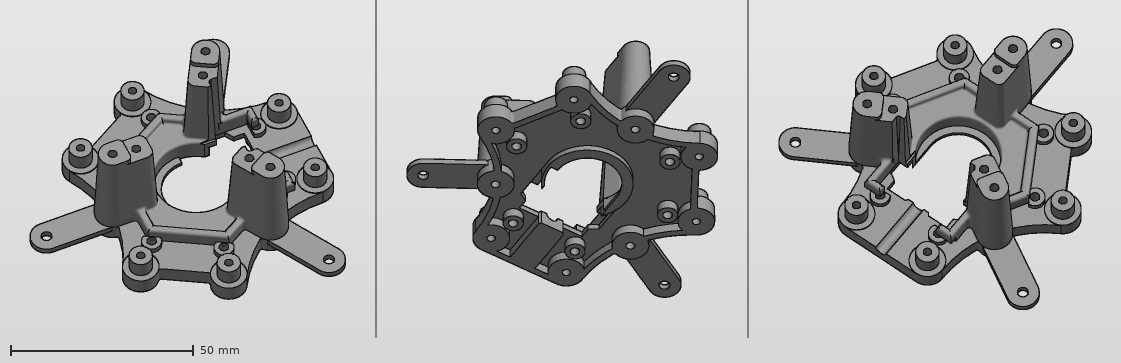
import cadquery as cq
import math

TOWER_ANGLES = (-90, 30, 150)
FRONT_PAIR_ANGLES = (210, 330)
REAR_ANGLE = 90
PAIR_ANGLES = (*FRONT_PAIR_ANGLES, REAR_ANGLE)

PLATE_TOP = 4.8
SKIN = 1.8
SKIN_BOTTOM = PLATE_TOP - SKIN
LUG_TOP = 5.0
EYELET_TOP = 6.35
BOSS_TOP = 10.0
DRAFT_START = 6.8
DECK_TOP = 7.2
RIDGE_TOP = 8.7
BRACKET_TOP = 9.9
LOW_STEP = 29.9
TOWER_TOP = 31.5

OVERALL_WIDTH = 86.9
ARM_RADIUS = 4.5
ARM_REACH = (OVERALL_WIDTH / 2 - ARM_RADIUS) / math.cos(math.radians(30))
ARM_HOLE_RADIUS = 1.5

LUG_RADIUS = 5.0
LUG_PITCH_RADIUS = 32.7
LUG_HALF_ANGLE = 21.8
LUG_ACROSS = LUG_PITCH_RADIUS * math.sin(math.radians(LUG_HALF_ANGLE))
LUG_OUT = LUG_PITCH_RADIUS * math.cos(math.radians(LUG_HALF_ANGLE))
BOSS_RADIUS = 3.2
BOSS_HOLE_RADIUS = 1.1

EYELET_RADIUS = 2.8
EYELET_HOLE_RADIUS = 1.3
EYELET_PITCH_RADIUS = 24.5
EYELET_HALF_ANGLE = 24

FRONT_FACE = 30.4
REAR_FACE = LUG_OUT + LUG_RADIUS
SCALLOP_END = (30.1, 17.7)
SCALLOP_MIDDLE = (27.4, 12.1)
SCALLOP_NECK = 25.5
NECK_HALF_WIDTH = 4.35
CORNER_BLEND = 0.8
WALL = 1.8

GROOVE_RADIUS = 1.7
TAB_HALF_WIDTH = 4.0
TAB_CHAMFER = 0.5
TAB_LENGTH = 0.8

SLOT_HALF_WIDTH = 9.6
SHOULDER_HALF_WIDTH = 12.6
SHOULDER_FRONT = 10.4
SHOULDER_REAR = 14.2
NOTCH_HALF_WIDTH = 10.1
NOTCH_FRONT = 15.7
NOTCH_REAR = 18.95
BORE_RADIUS = 11.7
SKIRT_RADIUS = SHOULDER_HALF_WIDTH
LEDGE_TOP = 2.3
LEDGE_BOTTOM = 1.1

SIDE_FACE = 20.9
TOWER_FACE = 20.1
RIDGE_WIDTH = 2.4
RIDGE_BLEND = 0.8
FOOT_BLEND = 0.6
RIDGE_END_BLEND = 1.0

TOWER_HALF_WIDTH = 5.0
TOWER_OUTER_CENTER = 25.1
TOWER_INNER_END = 13.0
TOWER_CORNER = 2.1
TOWER_DRAFT = 2.7
SHOULDER_DRAFT = 2.0
STEP_AT = 20.9
STEP_CORNER = 1.65
TOWER_HOLE_RADIUS = 1.2
BLIND_HOLE_AT = 18.0
BLIND_HOLE_DEPTH = 10.0
TOWER_TRIM_HALF_WIDTH = 10.3

FLAT_TOLERANCE = 0.1
FLOOR_BLEND_REAR = 8.3

BRACKET_WIDTH = 2.2
BRACKET_TIP = 9.6
BRACKET_ROOT_BLEND = 1.0
BRACKET_BLEND = 0.9
BRACKET_ROOT_OVERLAP = 1.7


def place(angle, out, across):
    """Point at a distance out along a direction and a distance across it, counter-clockwise."""
    a = math.radians(angle)
    return (out * math.cos(a) - across * math.sin(a), out * math.sin(a) + across * math.cos(a))


def turned(body, angle):
    return body.rotate((0, 0, 0), (0, 0, 1), angle)


def prism(points, bottom, top):
    return cq.Workplane("XY", origin=(0, 0, bottom)).polyline(points).close().extrude(top - bottom)


def cylinders(points, radius, bottom, top):
    return cq.Workplane("XY", origin=(0, 0, bottom)).pushPoints(points).circle(radius).extrude(top - bottom)


def pair_points(pitch_radius, half_angle):
    return [
        place(angle + side * half_angle, pitch_radius, 0)
        for angle in PAIR_ANGLES
        for side in (-1, 1)
    ]


LUGS = pair_points(LUG_PITCH_RADIUS, LUG_HALF_ANGLE)
EYELETS = pair_points(EYELET_PITCH_RADIUS, EYELET_HALF_ANGLE)
LOBES = [place(angle, TOWER_OUTER_CENTER, 0) for angle in TOWER_ANGLES]


def mirrored(points):
    """Close a left-hand outline with its mirror image in the YZ plane."""
    return points + [(-x, y) for x, y in reversed(points)]


def opening_outline():
    return mirrored([
        (-SLOT_HALF_WIDTH, 0),
        (-SLOT_HALF_WIDTH, SHOULDER_FRONT),
        (-SHOULDER_HALF_WIDTH, SHOULDER_FRONT),
        (-SHOULDER_HALF_WIDTH, SHOULDER_REAR),
        (-NOTCH_HALF_WIDTH, NOTCH_FRONT),
        (-NOTCH_HALF_WIDTH, NOTCH_REAR),
        (-TAB_HALF_WIDTH, NOTCH_REAR),
        (-TAB_HALF_WIDTH + TAB_CHAMFER, NOTCH_REAR - TAB_LENGTH),
    ])


def plate_core():
    """Outline between the lugs: a scallop each side of every tower, a flat between paired lugs."""
    core = cq.Workplane("XY").moveTo(*place(TOWER_ANGLES[0], SCALLOP_END[0], -SCALLOP_END[1]))
    for angle in TOWER_ANGLES:
        flat_angle = angle + 60
        flat = REAR_FACE if flat_angle == REAR_ANGLE else FRONT_FACE
        if angle != TOWER_ANGLES[0]:
            core = core.lineTo(*place(angle, SCALLOP_END[0], -SCALLOP_END[1]))
        core = (
            core.threePointArc(
                place(angle, SCALLOP_MIDDLE[0], -SCALLOP_MIDDLE[1]),
                place(angle, SCALLOP_NECK, -NECK_HALF_WIDTH),
            )
            .lineTo(*place(angle, SCALLOP_NECK, NECK_HALF_WIDTH))
            .threePointArc(place(angle, *SCALLOP_MIDDLE), place(angle, *SCALLOP_END))
            .lineTo(*place(flat_angle, flat, -LUG_ACROSS))
            .lineTo(*place(flat_angle, flat, LUG_ACROSS))
        )
    return core.close()


def blended_corners():
    """Places where the plate outline turns inward: at the front lugs and at the tower lobes."""
    at_lugs = [
        place(angle, FRONT_FACE, side * (LUG_ACROSS - LUG_RADIUS))
        for angle in FRONT_PAIR_ANGLES
        for side in (-1, 1)
    ]
    at_lobes = [
        place(angle, SCALLOP_NECK, side * TOWER_HALF_WIDTH)
        for angle in TOWER_ANGLES
        for side in (-1, 1)
    ]
    return at_lugs + at_lobes


def outer_block():
    block = plate_core().extrude(PLATE_TOP)
    block = block.union(cylinders(LUGS + LOBES, LUG_RADIUS, 0, PLATE_TOP))
    corners = cq.Workplane("XY")
    for x, y in blended_corners():
        corners = corners.add(block.edges("|Z").edges(cq.NearestToPointSelector((x, y, PLATE_TOP / 2))))
    return block.newObject(corners.vals()).fillet(CORNER_BLEND)


def underside_cavity():
    """Hollow below the skin, around the lugs, lobes, eyelet bosses and groove block."""
    cavity = plate_core().offset2D(-WALL).extrude(SKIN_BOTTOM)
    cavity = cavity.cut(cylinders(LUGS + LOBES, LUG_RADIUS, 0, SKIN_BOTTOM))
    cavity = cavity.cut(cylinders(EYELETS, EYELET_RADIUS, 0, SKIN_BOTTOM))
    groove_block = (
        cq.Workplane("XY")
        .rect(2 * TAB_HALF_WIDTH, REAR_FACE, centered=(True, False))
        .extrude(SKIN_BOTTOM)
    )
    return cavity.cut(groove_block)


def arms():
    arm = (
        cq.Workplane("XY", origin=(0, 0, SKIN_BOTTOM))
        .moveTo(TOWER_OUTER_CENTER, -ARM_RADIUS)
        .lineTo(ARM_REACH, -ARM_RADIUS)
        .threePointArc((ARM_REACH + ARM_RADIUS, 0), (ARM_REACH, ARM_RADIUS))
        .lineTo(TOWER_OUTER_CENTER, ARM_RADIUS)
        .close()
        .extrude(SKIN)
    )
    arm = arm.cut(cylinders([(ARM_REACH, 0)], ARM_HOLE_RADIUS, SKIN_BOTTOM, PLATE_TOP))
    return [turned(arm, angle) for angle in TOWER_ANGLES]


def eyelet_rings():
    """Low rings, each sliced off flat where it meets the side of the cover."""
    rings = cylinders(EYELETS, EYELET_RADIUS, PLATE_TOP, EYELET_TOP)
    triangle = [place(angle, 2 * SIDE_FACE, 0) for angle in TOWER_ANGLES]
    return rings.cut(prism(triangle, PLATE_TOP, EYELET_TOP))


def make_base_plate():
    plate = outer_block().cut(underside_cavity())
    for arm in arms():
        plate = plate.union(arm)
    plate = plate.union(cylinders(LUGS, LUG_RADIUS, 0, LUG_TOP))
    plate = plate.union(cylinders(LUGS, BOSS_RADIUS, LUG_TOP, BOSS_TOP))
    plate = plate.union(eyelet_rings())
    plate = plate.cut(cylinders([(0, 0)], SKIRT_RADIUS, 0, PLATE_TOP))
    plate = plate.cut(prism(opening_outline(), 0, PLATE_TOP))
    shoulder = cq.Workplane("XY").rect(2 * SHOULDER_HALF_WIDTH, SHOULDER_FRONT, centered=(True, False))
    plate = plate.cut(shoulder.extrude(PLATE_TOP))
    plate = plate.cut(cylinders(LUGS, BOSS_HOLE_RADIUS, 0, BOSS_TOP))
    plate = plate.cut(cylinders(EYELETS, EYELET_HOLE_RADIUS, 0, EYELET_TOP))
    plate = plate.cut(cylinders(LOBES, TOWER_HOLE_RADIUS, 0, PLATE_TOP))
    groove = cq.Workplane("XZ", origin=(0, 0, PLATE_TOP)).circle(GROOVE_RADIUS).extrude(-REAR_FACE)
    return plate.cut(groove)


def cover_outline(inset):
    """Outline with a side across each front lug pair and one across each tower."""
    def corner(angle):
        near = (TOWER_FACE if angle in TOWER_ANGLES else SIDE_FACE) - inset
        far = (SIDE_FACE if angle in TOWER_ANGLES else TOWER_FACE) - inset
        across = (far - near * math.cos(math.radians(60))) / math.sin(math.radians(60))
        return place(angle, near, across)

    left_pair = FRONT_PAIR_ANGLES[0]
    left_tower = TOWER_ANGLES[2]
    return mirrored([
        corner(left_pair),
        corner(left_tower),
        place(left_tower, TOWER_FACE - inset, -inset),
    ])


def deck():
    """Deck with a raised rim; the rear is hidden in the towers."""
    rim = prism(cover_outline(0), PLATE_TOP, RIDGE_TOP)
    rim = rim.cut(prism(cover_outline(RIDGE_WIDTH), DECK_TOP, RIDGE_TOP))
    return rim.faces(">Z").edges("not >Y").fillet(RIDGE_BLEND)


def tower_outline(height):
    half = TOWER_HALF_WIDTH
    return (
        cq.Workplane("XY", origin=(0, 0, height))
        .moveTo(TOWER_OUTER_CENTER, -half)
        .threePointArc((TOWER_OUTER_CENTER + half, 0), (TOWER_OUTER_CENTER, half))
        .lineTo(TOWER_INNER_END, half)
        .lineTo(TOWER_INNER_END, -half)
        .close()
    )


def step_cutter():
    """Space above the low step, around the rounded corners of the upper block."""
    half = TOWER_HALF_WIDTH - (LOW_STEP - DRAFT_START) * math.tan(math.radians(TOWER_DRAFT))
    height = TOWER_TOP - LOW_STEP
    base = cq.Workplane("XY", origin=(0, 0, LOW_STEP))
    space = base.rect(2 * (STEP_AT + STEP_CORNER), 2 * TOWER_HALF_WIDTH).extrude(height)
    upper_block = (
        base.center(STEP_AT, 0)
        .rect(2 * STEP_CORNER, 2 * half, centered=(False, True))
        .extrude(height)
        .edges("|Z and <X")
        .fillet(STEP_CORNER)
    )
    return space.cut(upper_block)


def round_inner_corners(body):
    corners = body.faces("<X").edges("not #Z")
    return corners.fillet(TOWER_CORNER)


def tower():
    """Straight foot and drafted shaft with rounded inner corners, pointing along +X."""
    foot = tower_outline(PLATE_TOP).extrude(DRAFT_START - PLATE_TOP)
    shaft = tower_outline(DRAFT_START).extrude(TOWER_TOP - DRAFT_START, taper=TOWER_DRAFT)
    body = round_inner_corners(foot).union(round_inner_corners(shaft)).cut(step_cutter())
    body = body.cut(cylinders([(TOWER_OUTER_CENTER, 0)], TOWER_HOLE_RADIUS, PLATE_TOP, TOWER_TOP))
    blind_bottom = LOW_STEP - BLIND_HOLE_DEPTH
    return body.cut(cylinders([(BLIND_HOLE_AT, 0)], TOWER_HOLE_RADIUS, blind_bottom, LOW_STEP))


def bracket():
    """L-shaped rib behind the left tower; its short leg overhangs the eyelet."""
    outer = SHOULDER_HALF_WIDTH + BRACKET_WIDTH
    rear = SIDE_FACE + BRACKET_WIDTH
    root = SHOULDER_REAR - BRACKET_ROOT_OVERLAP
    hook = prism(
        [
            (-SHOULDER_HALF_WIDTH, root),
            (-SHOULDER_HALF_WIDTH, SIDE_FACE),
            (-BRACKET_TIP, SIDE_FACE),
            (-BRACKET_TIP, rear),
            (-outer, rear),
            (-outer, root),
        ],
        DRAFT_START,
        BRACKET_TOP,
    )
    hook = hook.faces(">Z").edges("not <Y").fillet(BRACKET_BLEND)
    foot = prism(
        [
            (-SHOULDER_HALF_WIDTH, root),
            (-SHOULDER_HALF_WIDTH, SIDE_FACE),
            (-outer, SIDE_FACE),
            (-outer, root),
        ],
        PLATE_TOP,
        DRAFT_START,
    )
    return hook.union(foot)


def bracket_roots():
    """Where the outer sides of the brackets run into the rear sides of the side towers."""
    outer = SHOULDER_HALF_WIDTH + BRACKET_WIDTH
    slope = math.tan(math.radians(TOWER_ANGLES[1]))
    rear = TOWER_HALF_WIDTH / math.cos(math.radians(TOWER_ANGLES[1])) + outer * slope
    return [(-outer, rear), (outer, rear)]


def tapered_cut(half_width, front, draft):
    """Square space between the side towers that widens upward."""
    depth = 2 * half_width
    return (
        cq.Workplane("XY", origin=(0, front + depth / 2, DRAFT_START))
        .rect(2 * half_width, depth)
        .extrude(TOWER_TOP - DRAFT_START, taper=-draft)
    )


def lip_cutter():
    """Ring that rounds the edge of the bore from its wall to the foot of the tower blends."""
    blend = TOWER_INNER_END - FOOT_BLEND - BORE_RADIUS
    corner = BORE_RADIUS
    diagonal = blend * math.sqrt(0.5)
    return (
        cq.Workplane("XZ")
        .moveTo(corner, DECK_TOP - blend)
        .threePointArc(
            (corner + blend - diagonal, DECK_TOP - blend + diagonal),
            (corner + blend, DECK_TOP),
        )
        .lineTo(corner - blend, DECK_TOP)
        .lineTo(corner - blend, DECK_TOP - blend)
        .close()
        .revolve(360, (0, 0, 0), (0, 1, 0))
    )


def near_points(body, points, reach, bottom, top):
    """Rising edges of a body close to any of the given places and between two heights."""
    chosen = []
    for edge in body.edges().vals():
        box = edge.BoundingBox()
        middle = edge.Center()
        distance = min(math.hypot(middle.x - x, middle.y - y) for x, y in points)
        rises = box.zmax - box.zmin > FLAT_TOLERANCE
        inside = box.zmin > bottom - FLAT_TOLERANCE and box.zmax < top + FLAT_TOLERANCE
        if rises and inside and distance < reach:
            chosen.append(edge)
    return body.newObject(chosen)


def rim_ends():
    """Where the outer and inner sides of the rim run into the front and side towers."""
    ends = []
    for angle, sides in zip(TOWER_ANGLES, ((-1, 1), (-1,), (1,))):
        for out in (TOWER_FACE, TOWER_FACE - RIDGE_WIDTH):
            ends += [place(angle, out, side * TOWER_HALF_WIDTH) for side in sides]
    return ends


def deck_with_towers():
    """Deck and towers joined by blends at the rim ends and around the floor of the deck."""
    body = deck()
    for angle in TOWER_ANGLES:
        body = body.union(turned(tower(), angle))
    body = near_points(body, rim_ends(), RIDGE_END_BLEND, PLATE_TOP, RIDGE_TOP).fillet(RIDGE_END_BLEND)
    floor = cq.selectors.BoxSelector(
        (-SIDE_FACE * 2, -SIDE_FACE, DECK_TOP - FLAT_TOLERANCE),
        (SIDE_FACE * 2, FLOOR_BLEND_REAR, DECK_TOP + FLAT_TOLERANCE),
    )
    body = body.edges(floor).fillet(FOOT_BLEND)
    body = body.cut(tapered_cut(SHOULDER_HALF_WIDTH, SHOULDER_FRONT, SHOULDER_DRAFT))
    return body.cut(tapered_cut(TOWER_TRIM_HALF_WIDTH, 0, TOWER_DRAFT))


def make_cover():
    cover = deck_with_towers()
    for side in (bracket(), bracket().mirror("YZ")):
        cover = cover.union(side)
    roots = near_points(cover, bracket_roots(), BRACKET_WIDTH, PLATE_TOP, BRACKET_TOP)
    cover = roots.fillet(BRACKET_ROOT_BLEND)
    cover = cover.union(cylinders([(0, 0)], SKIRT_RADIUS, LEDGE_BOTTOM, PLATE_TOP))
    cover = cover.cut(cylinders([(0, 0)], BORE_RADIUS, LEDGE_TOP, RIDGE_TOP))
    cover = cover.cut(lip_cutter())
    slot = cylinders([(0, 0)], SLOT_HALF_WIDTH, 0, LEDGE_TOP).union(prism(opening_outline(), 0, RIDGE_TOP))
    cover = cover.cut(slot)
    window = cq.Workplane("XY").rect(-BORE_RADIUS, SHOULDER_FRONT, centered=False).extrude(LEDGE_TOP)
    return cover.cut(window.intersect(cylinders([(0, 0)], BORE_RADIUS, 0, LEDGE_TOP)))


base_plate = make_base_plate()
cover = make_cover()
result = cq.Compound.makeCompound([base_plate.val(), cover.val()])